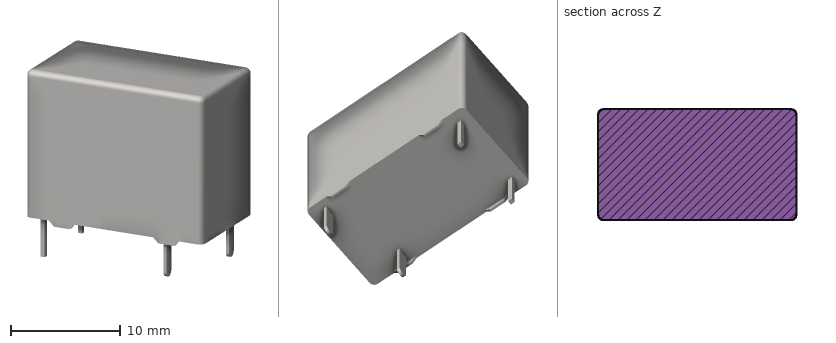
import cadquery as cq

overall_height = 18.2
case_length = 18.2
case_width = 10.21
pin_length = 4
case_height = overall_height - pin_length
edge_radius = 0.55

foot_height = 0.51
foot_top_length = 2.65
foot_bottom_length = foot_top_length - 2 * foot_height
foot_thickness = 0.22
foot_x = 5.35

pin_row_y = 3.8
square_pin_x = -7.86
square_pin_size = 0.44
blade_thickness = 0.31
blade_width = 0.96
front_blade_x = 4.82
rear_blade_x = 7.4

embed = 0.18


def make_case():
    block = cq.Workplane("XY").box(case_length, case_width, case_height, centered=(True, True, False))
    return block.edges("|Z or >Z").fillet(edge_radius)


def make_foot(x, side):
    """A trapezoid tab with its outer face flush with the long side (side is -1 or 1)."""
    half_top = foot_top_length / 2
    half_bottom = foot_bottom_length / 2
    outline = [
        (x - half_top, embed),
        (x - half_top, 0),
        (x - half_bottom, -foot_height),
        (x + half_bottom, -foot_height),
        (x + half_top, 0),
        (x + half_top, embed),
    ]
    middle_y = side * (case_width - foot_thickness) / 2
    foot = cq.Workplane("XZ").polyline(outline).close().extrude(foot_thickness / 2, both=True)
    return foot.translate((0, middle_y, 0))


def make_pin(x, y, size_x, size_y):
    """A straight rectangular pin hanging below the case."""
    pin = cq.Workplane("XY").box(size_x, size_y, pin_length + embed, centered=(True, True, False))
    return pin.translate((x, y, -pin_length))


def make_blade(x, y):
    """A flat pin whose tip is a half circle across its width."""
    radius = blade_width / 2
    tip_start = radius - pin_length
    blade = (
        cq.Workplane("YZ")
        .moveTo(-radius, embed)
        .lineTo(-radius, tip_start)
        .threePointArc((0, -pin_length), (radius, tip_start))
        .lineTo(radius, embed)
        .close()
        .extrude(blade_thickness / 2, both=True)
    )
    return blade.translate((x, y, 0))


result = make_case()
for side in (-1, 1):
    for x in (-foot_x, foot_x):
        result = result.union(make_foot(x, side))
    result = result.union(make_pin(square_pin_x, side * pin_row_y, square_pin_size, square_pin_size))
result = result.union(make_blade(front_blade_x, -pin_row_y))
result = result.union(make_blade(rear_blade_x, pin_row_y))